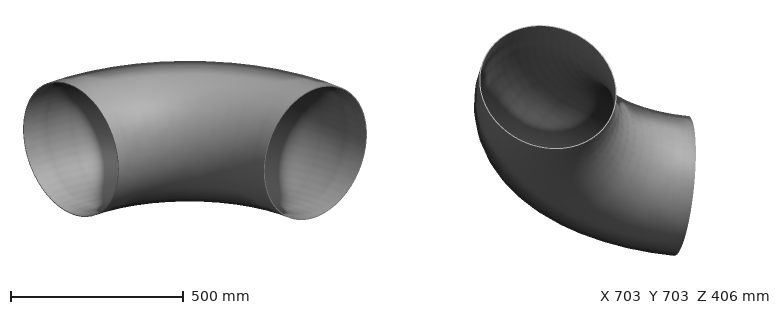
import cadquery as cq

overall_size = 703.0
outer_diameter = 406.0
wall_thickness = 3.0
bend_angle = 90.0

outer_radius = outer_diameter / 2
inner_radius = outer_radius - wall_thickness
bend_radius = overall_size - outer_radius

ring_profile = (
    cq.Workplane("XZ")
    .center(-bend_radius, 0)
    .circle(outer_radius)
    .circle(inner_radius)
)

axis_start = (bend_radius, 0)
axis_end = (bend_radius, -1)

result = ring_profile.revolve(bend_angle, axis_start, axis_end)